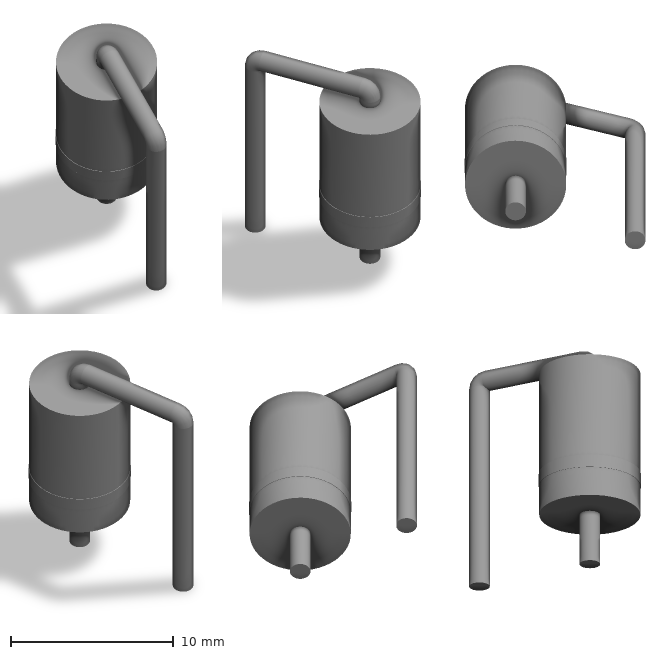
import cadquery as cq


lead_diameter = 1.27
lead_radius = lead_diameter / 2
lead_pitch = 7.62
lead_length_below_body = 3.3
bend_radius = 0.5

body_diameter = 6.22
body_length = 9.4
band_diameter = 6.28
band_bottom = 1.87
band_width = 0.82

overall_height = 14.27
lead_bottom = -lead_length_below_body
lead_top = lead_bottom + overall_height
crossbar_height = lead_top - lead_radius
bend_height = crossbar_height - bend_radius


def upright_cylinder(diameter, bottom, top, x=0):
    """Cylinder parallel to Z, between two heights."""
    return (
        cq.Workplane("XY", origin=(x, 0, bottom))
        .circle(diameter / 2)
        .extrude(top - bottom)
    )


def make_body():
    body = upright_cylinder(body_diameter, 0, body_length)
    band = upright_cylinder(band_diameter, band_bottom, band_bottom + band_width)
    return body.union(band)


def make_crossbar():
    """Horizontal run of the lead between the two bends."""
    return (
        cq.Workplane("YZ", origin=(bend_radius, 0, crossbar_height))
        .circle(lead_radius)
        .extrude(lead_pitch - 2 * bend_radius)
    )


def make_left_bend():
    """Quarter-turn bend above the body.

    The bend axis cuts through the lead's section, so only the part of the
    section on the outer side of the axis is swept.
    """
    half_chord = (lead_radius**2 - bend_radius**2) ** 0.5
    return (
        cq.Workplane("XY", origin=(0, 0, bend_height))
        .moveTo(bend_radius, half_chord)
        .threePointArc((-lead_radius, 0), (bend_radius, -half_chord))
        .close()
        .revolve(90, (bend_radius, -1, 0), (bend_radius, 1, 0))
    )


def make_right_bend():
    """Mirror image of the left bend, above the outer lead."""
    return make_left_bend().mirror("YZ").translate((lead_pitch, 0, 0))


body = make_body()
body_lead = upright_cylinder(lead_diameter, lead_bottom, bend_height)
outer_lead = upright_cylinder(lead_diameter, lead_bottom, bend_height, x=lead_pitch)

result = (
    body.union(body_lead)
    .union(make_left_bend())
    .union(make_crossbar())
    .union(make_right_bend())
    .union(outer_lead)
)